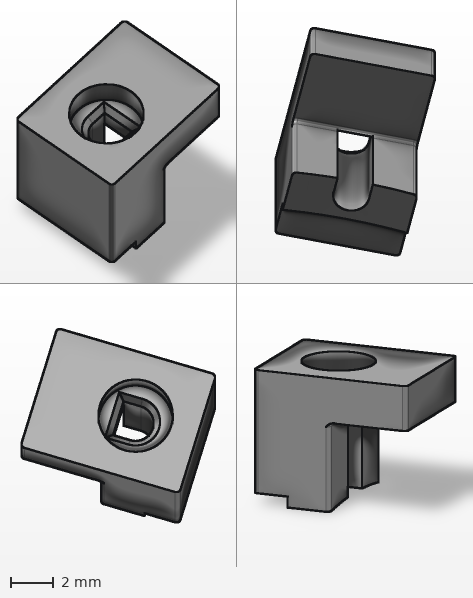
import cadquery as cq
import math

width = 6.0
length = 7.8
corner_radius = 0.2

plate_thickness = 2.19
leg_depth = 3.89
inner_fillet = 0.2

heel_height = 6.0
foot_drop = 0.535
foot_front = 1.71
saddle_radius = 20.0
total_height = heel_height + foot_drop

hole_radius = 0.85
hole_y = 3.05
countersink = 0.3
countersink_angle = 45
counterbore_diameter = 3.5
counterbore_depth = 1.2

margin = 1.0


def block(depth, height):
    """Box from the front face back to the given depth, hanging down from Z = 0."""
    return (
        cq.Workplane("XY")
        .box(width, depth, height, centered=(True, False, False))
        .translate((0, 0, -height))
    )


def make_body():
    """Rounded plate and leg, joined by a fillet that runs around the leg's rounded corners."""
    leg = block(leg_depth, total_height).edges("|Z").fillet(corner_radius)
    oversize_plate = (
        cq.Workplane("XY")
        .box(width + 2 * margin, length + 2 * margin, plate_thickness, centered=(True, False, False))
        .translate((0, -margin, -plate_thickness))
    )
    joint = cq.selectors.BoxSelector(
        (-width, -margin / 2, -plate_thickness - corner_radius / 2),
        (width, leg_depth + margin / 2, -plate_thickness + corner_radius / 2),
    )
    body = oversize_plate.union(leg).edges(joint).fillet(inner_fillet)
    envelope = block(length, total_height).edges("|Z").fillet(corner_radius)
    return body.intersect(envelope)


def make_heel_step():
    """Clearance in front of the foot."""
    return (
        cq.Workplane("XY")
        .box(width + 2 * margin, foot_front + margin, foot_drop + margin, centered=(True, False, False))
        .translate((0, -margin, -total_height - margin))
    )


def make_saddle():
    """Cylinder whose surface passes through the bottom side edges of the foot."""
    axis_drop = math.sqrt(saddle_radius**2 - (width / 2) ** 2)
    return (
        cq.Workplane("XZ")
        .center(0, -total_height - axis_drop)
        .circle(saddle_radius)
        .extrude(-length)
    )


def d_outline(half_size, z):
    """Closed D outline at height z: straight sides and back, semicircular front."""
    return (
        cq.Workplane("XY", origin=(0, hole_y, z))
        .moveTo(-half_size, 0)
        .lineTo(-half_size, half_size)
        .lineTo(half_size, half_size)
        .lineTo(half_size, 0)
        .threePointArc((0, -half_size), (-half_size, 0))
        .close()
    )


def make_hole():
    """Round counterbore, 45 degree countersink and D-shaped through hole."""
    counterbore = (
        cq.Workplane("XY", origin=(0, hole_y, -counterbore_depth))
        .circle(counterbore_diameter / 2)
        .extrude(counterbore_depth + margin)
    )
    sink = d_outline(hole_radius + countersink, -counterbore_depth).extrude(
        -countersink, taper=countersink_angle
    )
    through = d_outline(hole_radius, -counterbore_depth).extrude(-total_height)
    return counterbore.union(sink).union(through)


result = make_body().cut(make_heel_step()).cut(make_saddle()).cut(make_hole())